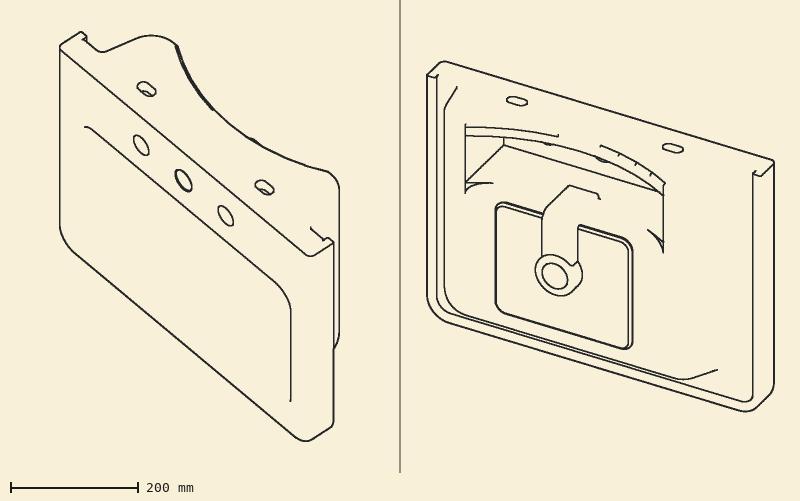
import cadquery as cq
import math

WIDTH = 600.0
HEIGHT = 450.0
TOTAL_DEPTH = 175.0

RIM_DEPTH = 50.5
RIM_CORNER_RADIUS = 40.0
RIM_EDGE_RADIUS = 10.0
LIP_WIDTH = 15.0
LIP_HEIGHT = 6.0
LIP_EDGE_RADIUS = 2.0

FOOT_Y = RIM_DEPTH - LIP_HEIGHT
SHELL_BACK = 145.0
SHELL_HALF_WIDTH = 246.0
SHELL_BOTTOM = 57.0
SHELL_SIDE_DRAFT = 11.0
SHELL_BOTTOM_DRAFT = 13.6
SHELL_RADIUS = 48.0
SHELL_FOOT_RADIUS = 12.0
WALL_FACE_EDGE = 5.0

HOLLOW_HALF_WIDTH = 177.5
HOLLOW_BOTTOM_Y = 96.5
HOLLOW_FLOOR_Z = 342.0
HOLLOW_EDGE_RADIUS = 20.0
DECK_THICKNESS = 21.0
WALL_FLANGE_THICKNESS = 21.0

BASIN_DEPTH = 120.0
BASIN_HALF_WIDTH = 250.0
BASIN_BOTTOM = 50.5
BASIN_TOP = 320.0
BASIN_SIDE_DRAFT = 14.0
BASIN_BOTTOM_DRAFT = 16.2
BASIN_TOP_DRAFT = 2.0
BASIN_CORNER_RADIUS = 33.0
BASIN_FLOOR_RADIUS = 20.0
BASIN_RIM_RADIUS = 10.0

PAD_BACK = 151.0
PAD_HALF_WIDTH = 123.0
PAD_BOTTOM = 121.0
PAD_TOP = 327.5
PAD_CORNER_RADIUS = 20.0
PAD_CHAMFER = 4.0

DRAIN_Z = 240.0
DRAIN_BOSS_RADIUS = 36.0
DRAIN_BOSS_EDGE = 2.5
DRAIN_SEAT_RADIUS = 36.5
DRAIN_SEAT_DEPTH = 5.5
DRAIN_SEAT_EDGE = 3.0
DRAIN_HOLE_RADIUS = 23.0
CHANNEL_HALF_WIDTH = 27.5
CHANNEL_FRONT = 84.0
CHANNEL_BACK = 171.0
CHANNEL_TOP = 350.5
CHANNEL_BEND_RADIUS = 20.5
CHANNEL_EDGE_RADIUS = 5.0
CHANNEL_FOOT_RADIUS = 3.0

TAP_Z = 385.0
TAP_PITCH = 100.0
SIDE_TAP_RADIUS = 18.0
CENTRE_TAP_RADIUS = 18.5
CENTRE_TAP_CHAMFER = 1.0
SLOT_X = 140.0
SLOT_Y = 46.0
SLOT_LENGTH = 34.0
SLOT_WIDTH = 19.0

ZONE_MARGIN = 0.5


def plane_at(y):
    """Workplane at depth y whose local axes are X and Z; negative extrusion goes to +Y."""
    return cq.Workplane("XZ", origin=(0, y, 0))


def block(half_width, z_low, z_high, y_front, y_back):
    """Box centred on X = 0."""
    size = (2 * half_width, y_back - y_front, z_high - z_low)
    corner = (-half_width, y_front, z_low)
    return cq.Workplane("XY", origin=corner).box(*size, centered=False)


def cylinder(x, z, radius, y_front, y_back):
    """Cylinder along Y."""
    return plane_at(y_front).center(x, z).circle(radius).extrude(y_front - y_back)


def tapered_block(half_width, z_low, z_high, y_front, y_back, side_draft, low_draft, high_draft):
    """Block narrowing toward +Y with its own draft angle on the sides, the bottom and the top."""
    depth = y_back - y_front
    side, low, high = (depth * math.tan(math.radians(a)) for a in (side_draft, low_draft, high_draft))
    plan = [
        (-half_width, y_front),
        (half_width, y_front),
        (half_width - side, y_back),
        (side - half_width, y_back),
    ]
    section = [
        (y_front, z_low),
        (y_back, z_low + low),
        (y_back, z_high - high),
        (y_front, z_high),
    ]
    across = cq.Workplane("XY", origin=(0, 0, z_low)).polyline(plan).close().extrude(z_high - z_low)
    along = cq.Workplane("YZ").polyline(section).close().extrude(half_width, both=True)
    return across.intersect(along)


def make_rim():
    """Slab with rounded lower corners and a shallow recess inside its back lip."""
    slab = block(WIDTH / 2, 0, HEIGHT, 0, RIM_DEPTH)
    slab = slab.edges("|Y and <Z").fillet(RIM_CORNER_RADIUS)
    slab = slab.faces("<Y").edges("not >Z").fillet(RIM_EDGE_RADIUS)
    recess = block(WIDTH / 2 - LIP_WIDTH, LIP_WIDTH, HEIGHT, FOOT_Y, RIM_DEPTH)
    recess = recess.edges("|Y and <Z").fillet(RIM_CORNER_RADIUS - LIP_WIDTH)
    slab = slab.cut(recess)
    return slab.faces(">Y").edges("not >Z").fillet(LIP_EDGE_RADIUS)


def make_shell():
    """Rounded outer bowl with the curved hollow cut behind the tap deck."""
    shell = tapered_block(
        SHELL_HALF_WIDTH, SHELL_BOTTOM, HEIGHT, FOOT_Y, SHELL_BACK,
        SHELL_SIDE_DRAFT, SHELL_BOTTOM_DRAFT, 0,
    )
    shell = shell.edges("not (<Y or >Z)").fillet(SHELL_RADIUS)
    hollow = (
        cq.Workplane("XY", origin=(0, 0, HOLLOW_FLOOR_Z))
        .moveTo(-HOLLOW_HALF_WIDTH, SHELL_BACK)
        .threePointArc((0, HOLLOW_BOTTOM_Y), (HOLLOW_HALF_WIDTH, SHELL_BACK))
        .close()
        .extrude(HEIGHT - HOLLOW_FLOOR_Z)
    )
    shell = shell.cut(hollow)
    floor_edge = cq.selectors.NearestToPointSelector((0, SHELL_BACK, HOLLOW_FLOOR_Z))
    shell = shell.edges(floor_edge).fillet(HOLLOW_EDGE_RADIUS)
    return shell


def make_deck_cavity():
    """Space behind the tap deck, closed toward the wall by the flange with the fixing slots."""
    flange_z = HEIGHT - WALL_FLANGE_THICKNESS
    return block(HOLLOW_HALF_WIDTH, HOLLOW_FLOOR_Z, flange_z, DECK_THICKNESS, SHELL_BACK)


def make_pad():
    pad = block(PAD_HALF_WIDTH, PAD_BOTTOM, PAD_TOP, BASIN_DEPTH, PAD_BACK)
    pad = pad.edges("|Y").fillet(PAD_CORNER_RADIUS)
    return pad.faces(">Y").chamfer(PAD_CHAMFER)


def make_channel():
    """Overflow channel running from the drain boss up and over the edge of the hollow."""
    channel = block(CHANNEL_HALF_WIDTH, DRAIN_Z, CHANNEL_TOP, CHANNEL_FRONT, CHANNEL_BACK)
    channel = channel.edges(">Y and >Z").fillet(CHANNEL_BEND_RADIUS)
    return channel.faces("<X or >X").edges("not (<Y or <Z)").fillet(CHANNEL_EDGE_RADIUS)


def make_drain_boss():
    boss = cylinder(0, DRAIN_Z, DRAIN_BOSS_RADIUS, BASIN_DEPTH, TOTAL_DEPTH)
    return boss.faces(">Y").fillet(DRAIN_BOSS_EDGE)


def make_basin_cavity():
    cavity = tapered_block(
        BASIN_HALF_WIDTH, BASIN_BOTTOM, BASIN_TOP, 0, BASIN_DEPTH,
        BASIN_SIDE_DRAFT, BASIN_BOTTOM_DRAFT, BASIN_TOP_DRAFT,
    )
    cavity = cavity.edges("not (<Y or >Y)").fillet(BASIN_CORNER_RADIUS)
    return cavity.faces(">Y").edges().fillet(BASIN_FLOOR_RADIUS)


def make_drain_hole():
    """Straight outlet with a conical seat in the basin floor."""
    hole = cylinder(0, DRAIN_Z, DRAIN_HOLE_RADIUS, BASIN_DEPTH, TOTAL_DEPTH)
    seat = cq.Solid.makeCone(
        DRAIN_SEAT_RADIUS, DRAIN_HOLE_RADIUS, DRAIN_SEAT_DEPTH,
        cq.Vector(0, BASIN_DEPTH, DRAIN_Z), cq.Vector(0, 1, 0),
    )
    return hole.union(cq.Workplane(seat))


def make_tap_holes():
    centre = cylinder(0, TAP_Z, CENTRE_TAP_RADIUS, 0, DECK_THICKNESS)
    mouth = cq.Solid.makeCone(
        CENTRE_TAP_RADIUS + CENTRE_TAP_CHAMFER, CENTRE_TAP_RADIUS, CENTRE_TAP_CHAMFER,
        cq.Vector(0, 0, TAP_Z), cq.Vector(0, 1, 0),
    )
    holes = centre.union(cq.Workplane(mouth))
    for x in (-TAP_PITCH, TAP_PITCH):
        holes = holes.union(cylinder(x, TAP_Z, SIDE_TAP_RADIUS, 0, DECK_THICKNESS))
    return holes


def make_fixing_slots():
    return (
        cq.Workplane("XY", origin=(0, SLOT_Y, HEIGHT))
        .pushPoints([(-SLOT_X, 0), (SLOT_X, 0)])
        .slot2D(SLOT_LENGTH, SLOT_WIDTH)
        .extrude(-WALL_FLANGE_THICKNESS)
    )


def round_edges(body, low_corner, high_corner, radius):
    """Fillet the edges whose centres lie in the box between two corners, with a small margin."""
    low = tuple(c - ZONE_MARGIN for c in low_corner)
    high = tuple(c + ZONE_MARGIN for c in high_corner)
    return body.edges(cq.selectors.BoxSelector(low, high)).fillet(radius)


body = make_rim().union(make_shell())

body = round_edges(
    body,
    (-SHELL_HALF_WIDTH, FOOT_Y, SHELL_BOTTOM),
    (SHELL_HALF_WIDTH, FOOT_Y, HEIGHT - 2 * ZONE_MARGIN),
    SHELL_FOOT_RADIUS,
)
body = round_edges(
    body,
    (-SHELL_HALF_WIDTH, FOOT_Y + 2 * ZONE_MARGIN, HEIGHT),
    (SHELL_HALF_WIDTH, SHELL_BACK, HEIGHT),
    WALL_FACE_EDGE,
)

body = body.cut(make_deck_cavity())

body = body.union(make_channel())
for x in (-CHANNEL_HALF_WIDTH, CHANNEL_HALF_WIDTH):
    body = round_edges(
        body, (x, HOLLOW_BOTTOM_Y, DRAIN_Z), (x, SHELL_BACK, HOLLOW_FLOOR_Z), CHANNEL_FOOT_RADIUS
    )

body = body.union(make_pad()).union(make_drain_boss())

body = body.cut(make_basin_cavity())
body = round_edges(
    body, (-BASIN_HALF_WIDTH, 0, BASIN_BOTTOM), (BASIN_HALF_WIDTH, 0, BASIN_TOP), BASIN_RIM_RADIUS
)

body = body.cut(make_drain_hole())
body = round_edges(
    body,
    (-DRAIN_SEAT_RADIUS, BASIN_DEPTH, DRAIN_Z - DRAIN_SEAT_RADIUS),
    (DRAIN_SEAT_RADIUS, BASIN_DEPTH + DRAIN_SEAT_DEPTH, DRAIN_Z + DRAIN_SEAT_RADIUS),
    DRAIN_SEAT_EDGE,
)
result = body.cut(make_tap_holes()).cut(make_fixing_slots())